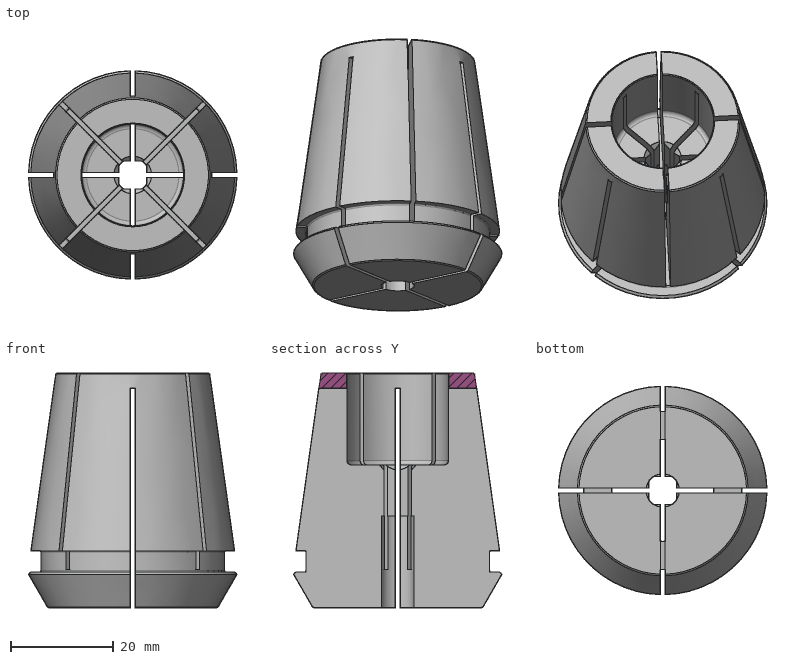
import cadquery as cq
import math

total_height = 46.0
taper_angle = 8.0
nose_angle = 30.0

flange_radius = 20.4
nose_height = 6.6
flange_edge_chamfer = 0.45
flange_top = 7.05
groove_radius = 18.0
groove_fillet = 0.25
groove_top = 11.2
nose_edge_chamfer = 0.2

taper_large_radius = 19.95
taper_edge_chamfer = 0.25

bore_radius = 9.95
bore_floor = 28.0
bore_floor_fillet = 0.9
bore_edge_chamfer = 0.2
square_side = 5.4
square_start = 18.0
shank_radius = 3.25
countersink_radius = 3.67
countersink_half_angle = 45.0

slot_width = 0.95
slots_per_direction = 4
blade_length = 2 * flange_radius + 2.0
nose_slot_top = 43.0
rear_slot_floor = 7.5


def make_body():
    taper_tan = math.tan(math.radians(taper_angle))
    nose_tan = math.tan(math.radians(nose_angle))
    top_radius = taper_large_radius - (total_height - groove_top) * taper_tan
    nose_radius = flange_radius - nose_height * nose_tan
    arc_inset = groove_fillet * (1 - math.sqrt(0.5))
    profile = (
        cq.Workplane("XZ")
        .lineTo(nose_radius - nose_edge_chamfer, 0)
        .lineTo(nose_radius + nose_edge_chamfer * nose_tan, nose_edge_chamfer)
        .lineTo(flange_radius, nose_height)
        .lineTo(flange_radius - flange_edge_chamfer, flange_top)
        .lineTo(groove_radius + groove_fillet, flange_top)
        .threePointArc(
            (groove_radius + arc_inset, flange_top + arc_inset),
            (groove_radius, flange_top + groove_fillet),
        )
        .lineTo(groove_radius, groove_top - groove_fillet)
        .threePointArc(
            (groove_radius + arc_inset, groove_top - arc_inset),
            (groove_radius + groove_fillet, groove_top),
        )
        .lineTo(taper_large_radius, groove_top)
        .lineTo(top_radius + taper_edge_chamfer * taper_tan, total_height - taper_edge_chamfer)
        .lineTo(top_radius - taper_edge_chamfer, total_height)
        .lineTo(0, total_height)
        .close()
    )
    return profile.revolve(360, (0, 0, 0), (0, 1, 0))


def make_rear_bore():
    depth = total_height - bore_floor
    bore = cq.Workplane("XY").workplane(offset=bore_floor).circle(bore_radius).extrude(depth)
    bore = bore.faces("<Z").edges().fillet(bore_floor_fillet)
    mouth = cq.Solid.makeCone(
        bore_radius, bore_radius + bore_edge_chamfer, bore_edge_chamfer,
        pnt=cq.Vector(0, 0, total_height - bore_edge_chamfer),
    )
    return bore.union(cq.Workplane(mouth))


def make_tool_hole():
    shank = cq.Workplane("XY").circle(shank_radius).extrude(square_start)
    square = (
        cq.Workplane("XY").workplane(offset=square_start)
        .rect(square_side, square_side).extrude(bore_floor - square_start)
    )
    sink_depth = countersink_radius / math.tan(math.radians(countersink_half_angle))
    countersink = cq.Solid.makeCone(
        0, countersink_radius, sink_depth, pnt=cq.Vector(0, 0, bore_floor - sink_depth),
    )
    return shank.union(square).union(cq.Workplane(countersink))


def make_slots(bottom, top, first_angle):
    """Radial slots through the wall, evenly spaced; opposite slots share one blade."""
    blades = cq.Workplane("XY")
    for index in range(slots_per_direction // 2):
        blade = (
            cq.Workplane("XY").workplane(offset=bottom)
            .rect(blade_length, slot_width).extrude(top - bottom)
            .rotate((0, 0, 0), (0, 0, 1), first_angle + index * 360 / slots_per_direction)
        )
        blades = blades.union(blade)
    return blades


result = (
    make_body()
    .cut(make_rear_bore())
    .cut(make_tool_hole())
    .cut(make_slots(0, nose_slot_top, 0))
    .cut(make_slots(rear_slot_floor, total_height, 45))
)